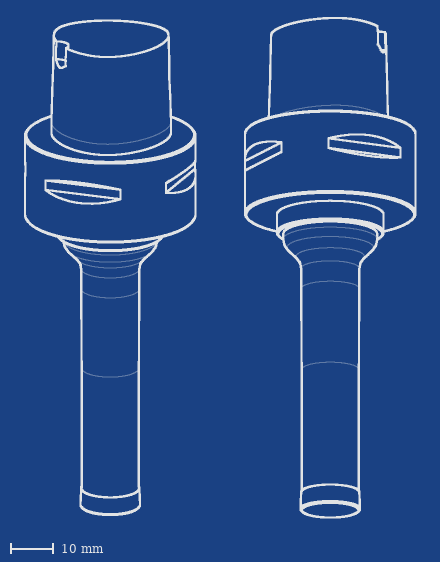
import cadquery as cq
import math


SHANK_HEIGHT = 24.0
SHANK_BAND_HEIGHT = 2.7
SHANK_BASE_RADIUS = 14.0
SHANK_TOP_RADIUS = 13.5
LOBE_HEIGHT = 0.7
OUTLINE_POINTS = 36

NOTCH_RADIUS = 3.1
NOTCH_AXIS_Y = -14.0
NOTCH_WALL_DEPTH = 4.4
DRILL_POINT_ANGLE = 118

FLANGE_RADIUS = 40.0 / 2
FLANGE_LENGTH = 20.0
FLANGE_CHAMFER = 0.3
SLOT_COUNT = 4
SLOT_Z = -8.0
SLOT_FLOOR_DISTANCE = 17.6
SLOT_FLOOR_HEIGHT = 2.3
SLOT_FLANK_ANGLE = 30

PILOT_RADIUS = 25.0 / 2
PILOT_BOTTOM = -24.6
PILOT_CHAMFER = 0.3
COLLAR_RADIUS = 22 / 2
COLLAR_BOTTOM = -27.1
COLLAR_ROUND = 2.9
STEM_ROUND = 4.1
NECK_RADIUS = 13.7 / 2
NECK_BOTTOM = -37.9
STEM_RADIUS = 13.5 / 2
STEM_TAPER_BOTTOM = -57.5

TOOL_BOTTOM = SHANK_HEIGHT - 116
HEAD_TOP = -87.2
HEAD_RADIUS = 14.0 / 2
HEAD_TOP_RADIUS = 13.7 / 2
HEAD_CHAMFER = 0.3
HEAD_POINT_HEIGHT = 0.3


def lobed_point(mean_radius, angle):
    """Point of the three-lobed outline, with one lobe pointing to +Y."""
    along = mean_radius * math.cos(angle) + LOBE_HEIGHT * (2 * math.cos(2 * angle) - math.cos(4 * angle))
    across = mean_radius * math.sin(angle) - LOBE_HEIGHT * (2 * math.sin(2 * angle) + math.sin(4 * angle))
    return (-across, along)


def lobed_outline(mean_radius, z):
    step = 2 * math.pi / OUTLINE_POINTS
    points = [lobed_point(mean_radius, i * step) for i in range(OUTLINE_POINTS)]
    return cq.Workplane("XY").workplane(offset=z).spline(points, periodic=True).close()


def revolved(profile):
    """Turn a closed list of (radius, z) points about the tool axis."""
    return cq.Workplane("XZ").polyline(profile).close().revolve(360, (0, 0, 0), (0, 1, 0))


def make_notch():
    point_depth = NOTCH_RADIUS / math.tan(math.radians(DRILL_POINT_ANGLE / 2))
    wall_bottom = SHANK_HEIGHT - NOTCH_WALL_DEPTH
    drill = revolved([
        (0, SHANK_HEIGHT),
        (NOTCH_RADIUS, SHANK_HEIGHT),
        (NOTCH_RADIUS, wall_bottom),
        (0, wall_bottom - point_depth),
    ])
    return drill.translate((0, NOTCH_AXIS_Y, 0))


def make_shank():
    band = lobed_outline(SHANK_BASE_RADIUS, 0).extrude(SHANK_BAND_HEIGHT)
    bottom = lobed_outline(SHANK_BASE_RADIUS, SHANK_BAND_HEIGHT).wires().val()
    top = lobed_outline(SHANK_TOP_RADIUS, SHANK_HEIGHT).wires().val()
    taper = cq.Workplane(cq.Solid.makeLoft([bottom, top]))
    return band.union(taper).cut(make_notch())


def make_gripper_slot(angle):
    """Straight slot across the flange rim with flanks that open outward."""
    outer = FLANGE_RADIUS + 1.2
    floor_half = SLOT_FLOOR_HEIGHT / 2
    mouth_half = floor_half + (outer - SLOT_FLOOR_DISTANCE) * math.tan(math.radians(SLOT_FLANK_ANGLE))
    slot = (
        cq.Workplane("XZ")
        .polyline([
            (SLOT_FLOOR_DISTANCE, SLOT_Z - floor_half),
            (outer, SLOT_Z - mouth_half),
            (outer, SLOT_Z + mouth_half),
            (SLOT_FLOOR_DISTANCE, SLOT_Z + floor_half),
        ])
        .close()
        .extrude(FLANGE_RADIUS, both=True)
    )
    return slot.rotate((0, 0, 0), (0, 0, 1), angle)


def make_flange():
    flange = cq.Workplane("XY").circle(FLANGE_RADIUS).extrude(-FLANGE_LENGTH).edges().chamfer(FLANGE_CHAMFER)
    pitch = 360 / SLOT_COUNT
    for i in range(SLOT_COUNT):
        flange = flange.cut(make_gripper_slot((i + 0.5) * pitch))
    return flange


def make_pilot():
    pilot = cq.Workplane("XY").workplane(offset=PILOT_BOTTOM).circle(PILOT_RADIUS)
    pilot = pilot.extrude(-FLANGE_LENGTH - PILOT_BOTTOM)
    return pilot.faces("<Z").edges().chamfer(PILOT_CHAMFER)


def make_stem():
    cone_bottom = COLLAR_BOTTOM - (COLLAR_RADIUS - NECK_RADIUS)
    stem = revolved([
        (0, PILOT_BOTTOM),
        (COLLAR_RADIUS, PILOT_BOTTOM),
        (COLLAR_RADIUS, COLLAR_BOTTOM),
        (NECK_RADIUS, cone_bottom),
        (NECK_RADIUS, NECK_BOTTOM),
        (STEM_RADIUS, STEM_TAPER_BOTTOM),
        (STEM_RADIUS, HEAD_TOP),
        (0, HEAD_TOP),
    ])

    def edge_at(z):
        reach = 2 * COLLAR_RADIUS
        margin = 0.1
        return cq.selectors.BoxSelector(
            (-reach, -reach, z - margin), (reach, reach, z + margin), boundingbox=True
        )

    stem = stem.edges(edge_at(COLLAR_BOTTOM)).fillet(COLLAR_ROUND)
    return stem.edges(edge_at(cone_bottom)).fillet(STEM_ROUND)


def make_holder():
    return make_shank().union(make_flange()).union(make_pilot()).union(make_stem())


def make_cutting_head():
    rim_bottom = TOOL_BOTTOM + HEAD_POINT_HEIGHT
    return revolved([
        (0, HEAD_TOP),
        (HEAD_TOP_RADIUS, HEAD_TOP),
        (HEAD_RADIUS, rim_bottom + HEAD_CHAMFER),
        (HEAD_RADIUS - HEAD_CHAMFER, rim_bottom),
        (0, TOOL_BOTTOM),
    ])


holder = make_holder()
cutting_head = make_cutting_head()

result = cq.Compound.makeCompound([holder.val(), cutting_head.val()])